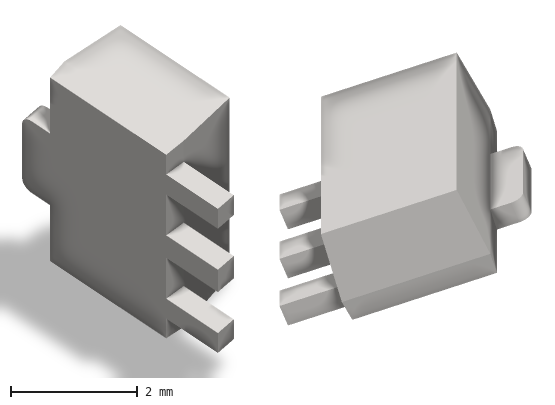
import cadquery as cq
import math


body_length_x = 2.5
body_length_z = 4.5
body_height = 1.6
draft_angle = 5.0

metal_thickness = 0.38
parting_y = metal_thickness

lead_tip_x = 2.3
overall_length_x = 4.1
tab_outer_x = lead_tip_x - overall_length_x
tab_inner_x = 0.95
tab_width = 1.73
tab_corner_radius = 0.2
center_lead_width = 0.54

outer_lead_inner_x = 0.82
outer_lead_width = 0.48
lead_pitch = 1.5


def metal_bar(start_x, end_x, width, center_z=0.0):
    """Flat bar of the metal strip, running along X and centred on center_z."""
    return cq.Workplane("XY").box(
        end_x - start_x, metal_thickness, width, centered=(False, False, True)
    ).translate((start_x, 0, center_z))


def drafted_half(height):
    """Half of the body, growing from the parting plane to the side given by the sign of height."""
    inset = abs(height) * math.tan(math.radians(draft_angle))
    return (
        cq.Workplane("XZ", origin=(0, parting_y, 0))
        .rect(body_length_x, body_length_z)
        .workplane(offset=-height)
        .rect(body_length_x - 2 * inset, body_length_z - 2 * inset)
        .loft(ruled=True)
    )


def make_tab():
    """Heat-sink tab with rounded outer corners, in one piece with the centre lead."""
    plate = metal_bar(tab_outer_x, tab_inner_x, tab_width)
    plate = plate.edges("|Y and <X").fillet(tab_corner_radius)
    return plate.union(metal_bar(tab_inner_x, lead_tip_x, center_lead_width))


def make_outer_lead(center_z):
    """Straight lead set into the mounting face of the body."""
    return metal_bar(outer_lead_inner_x, lead_tip_x, outer_lead_width, center_z)


def make_body(metal_parts):
    """Body drafted both ways from the parting plane, with recesses for the metal parts."""
    body = drafted_half(body_height - parting_y).union(drafted_half(-parting_y))
    for metal_part in metal_parts:
        body = body.cut(metal_part)
    return body


tab = make_tab()
outer_leads = [make_outer_lead(side * lead_pitch) for side in (-1, 1)]
body = make_body([tab, *outer_leads])

bodies = [piece.solids().val() for piece in (body, tab, *outer_leads)]

result = cq.Compound.makeCompound(bodies)